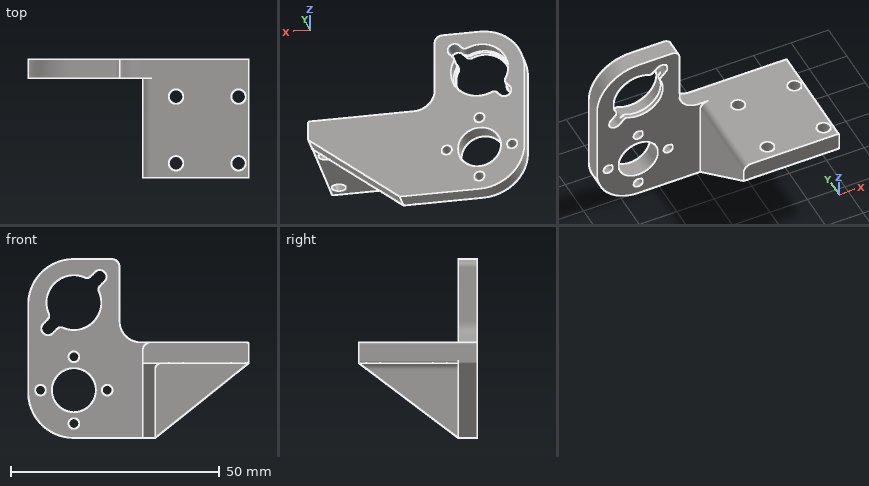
import cadquery as cq
import math

LENGTH = 53.0
DEPTH = 28.5
HEIGHT = 43.0

PLATE_THICKNESS = 4.6
PLATE_WIDTH = 22.0
LEFT_CORNER_RADIUS = 11.0
TOP_CORNER_RADIUS = 2.0
INNER_CORNER_RADIUS = 5.0

FLANGE_TOP = 23.0
FLANGE_THICKNESS = 5.0
FLANGE_BOTTOM = FLANGE_TOP - FLANGE_THICKNESS
FLANGE_LEFT = 27.5
FLANGE_EDGE_RADIUS = 2.0
FLANGE_END_RADIUS = 0.5
GUSSET_THICKNESS = 3.0
GUSSET_RIGHT = FLANGE_LEFT + GUSSET_THICKNESS
GUSSET_FILLET = 1.5

BORE_X = LEFT_CORNER_RADIUS
LOWER_BORE_Z = 11.5
LOWER_BORE_DIAMETER = 10.5
SCREW_CIRCLE_RADIUS = 8.0
SCREW_HOLE_DIAMETER = 2.5
SCREW_HOLE_COUNT = 4

UPPER_BORE_Z = 32.5
UPPER_BORE_DIAMETER = 13.1
LIP_THICKNESS = 1.2
UPPER_COUNTERBORE_DIAMETER = 14.0
UPPER_COUNTERBORE_DEPTH = PLATE_THICKNESS - LIP_THICKNESS
EAR_SPACING = 17.5
EAR_WIDTH = 3.2
EAR_ANGLE = 45.0
EAR_FILLET = 1.0

MOUNT_HOLE_DIAMETER = 3.4
MOUNT_ROWS = 2
MOUNT_COLUMNS = 2
MOUNT_SPACING_X = 15.0
MOUNT_SPACING_Y = 16.0
MOUNT_CENTER_X = 43.0
MOUNT_CENTER_Y = -17.0


def make_plate():
    """Upright plate, including the triangular web that backs the flange."""
    outline = (
        cq.Workplane("XZ")
        .moveTo(0, 0)
        .lineTo(GUSSET_RIGHT, 0)
        .lineTo(LENGTH, FLANGE_BOTTOM)
        .lineTo(LENGTH, FLANGE_TOP)
        .lineTo(PLATE_WIDTH, FLANGE_TOP)
        .lineTo(PLATE_WIDTH, HEIGHT)
        .lineTo(0, HEIGHT)
        .close()
    )
    plate = outline.extrude(PLATE_THICKNESS)
    plate = plate.edges("|Y and <X").fillet(LEFT_CORNER_RADIUS)
    plate = plate.edges("|Y and >Z").edges(">X").fillet(TOP_CORNER_RADIUS)
    plate = plate.edges("|Y and >X").fillet(FLANGE_END_RADIUS)
    inner_corner = cq.selectors.NearestToPointSelector((PLATE_WIDTH, -PLATE_THICKNESS / 2, FLANGE_TOP))
    return plate.edges(inner_corner).fillet(INNER_CORNER_RADIUS)


def make_flange():
    """Flange and gusset as one angle section, sloped from the plate up to its front edge."""
    section = (
        cq.Workplane("XZ")
        .moveTo(FLANGE_LEFT, 0)
        .lineTo(GUSSET_RIGHT, 0)
        .lineTo(GUSSET_RIGHT, FLANGE_BOTTOM)
        .lineTo(LENGTH, FLANGE_BOTTOM)
        .lineTo(LENGTH, FLANGE_TOP)
        .lineTo(FLANGE_LEFT, FLANGE_TOP)
        .close()
    )
    flange = section.extrude(DEPTH)
    flange = flange.edges("|Y and <X").edges(">Z").fillet(FLANGE_EDGE_RADIUS)
    flange = flange.edges("|Y and >X").fillet(FLANGE_END_RADIUS)
    inner_corner = cq.selectors.NearestToPointSelector((GUSSET_RIGHT, -DEPTH / 2, FLANGE_BOTTOM))
    flange = flange.edges(inner_corner).fillet(GUSSET_FILLET)
    side_profile = (
        cq.Workplane("YZ")
        .moveTo(0, 0)
        .lineTo(-PLATE_THICKNESS, 0)
        .lineTo(-DEPTH, FLANGE_BOTTOM)
        .lineTo(-DEPTH, FLANGE_TOP)
        .lineTo(0, FLANGE_TOP)
        .close()
        .extrude(LENGTH)
    )
    return flange.intersect(side_profile)


def plate_workplane(z):
    """Workplane on the back of the plate, centred on the bore axis at height z."""
    return cq.Workplane("XZ", origin=(BORE_X, 0, z))


def make_lower_bore():
    """Plain round bore surrounded by evenly spaced screw holes."""
    bore = plate_workplane(LOWER_BORE_Z).circle(LOWER_BORE_DIAMETER / 2).extrude(PLATE_THICKNESS)
    screw_holes = (
        plate_workplane(LOWER_BORE_Z)
        .polarArray(SCREW_CIRCLE_RADIUS, 0, 360, SCREW_HOLE_COUNT)
        .circle(SCREW_HOLE_DIAMETER / 2)
        .extrude(PLATE_THICKNESS)
    )
    return bore.union(screw_holes)


def make_eared_opening(diameter, depth):
    """Bore with two ears and rounded ear mouths, reaching the given depth from the back."""
    radius = diameter / 2
    half_width = EAR_WIDTH / 2
    mouth_distance = math.sqrt(radius**2 - half_width**2)
    angle = math.radians(EAR_ANGLE)
    bore = plate_workplane(UPPER_BORE_Z).circle(radius).extrude(depth)
    ears = (
        plate_workplane(UPPER_BORE_Z)
        .slot2D(EAR_SPACING + EAR_WIDTH, EAR_WIDTH, EAR_ANGLE)
        .extrude(depth)
    )
    opening = bore.union(ears)
    for along in (-mouth_distance, mouth_distance):
        for across in (-half_width, half_width):
            corner = (
                BORE_X + along * math.cos(angle) - across * math.sin(angle),
                -depth / 2,
                UPPER_BORE_Z + along * math.sin(angle) + across * math.cos(angle),
            )
            mouth_edge = cq.selectors.NearestToPointSelector(corner)
            opening = opening.edges(mouth_edge).fillet(EAR_FILLET)
    return opening


def make_upper_bore():
    """Narrow opening through the front lip and a wider one behind it."""
    lip_opening = make_eared_opening(UPPER_BORE_DIAMETER, PLATE_THICKNESS)
    counterbore = make_eared_opening(UPPER_COUNTERBORE_DIAMETER, UPPER_COUNTERBORE_DEPTH)
    return lip_opening.union(counterbore)


def make_mount_holes():
    """Rectangular pattern of vertical holes through the flange."""
    return (
        cq.Workplane("XY", origin=(MOUNT_CENTER_X, MOUNT_CENTER_Y, 0))
        .rarray(MOUNT_SPACING_X, MOUNT_SPACING_Y, MOUNT_COLUMNS, MOUNT_ROWS)
        .circle(MOUNT_HOLE_DIAMETER / 2)
        .extrude(FLANGE_TOP)
    )


body = make_plate().union(make_flange()).clean()
result = body.cut(make_lower_bore()).cut(make_upper_bore()).cut(make_mount_holes())